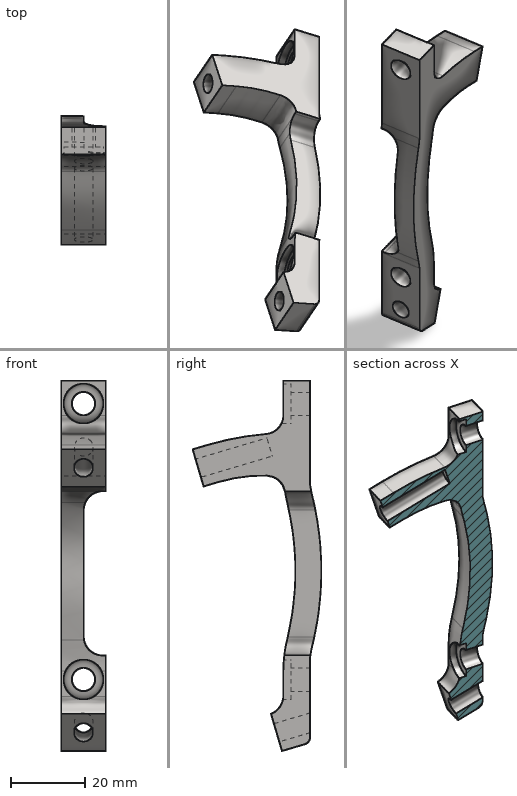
import cadquery as cq
import math


width = 12.0
bar_thickness = 7.25

bow_center_height = -51.2
bow_depth = 3.28
bow_thickness = 7.0
bow_radius = 77.0
bow_blend_radius = 35.0

pad_tilt = math.radians(16.5)
pad_length = 10.45
pad_spacing = 74.2
lower_pad_bottom = (7.6, -99.66)
inner_corner_radius = 5.0
foot_radius = 2.0

arm_straight = 4.2
arm_top_radius = 78.0
arm_underside_radius = 42.0
arm_root_reach = 3.0

relief_depth = 5.9
relief_corner_radius = 5.0
relief_top = -29.8
relief_bottom = -73.9

upper_mount_height = -6.2
mount_spacing = 74.2
mount_diameter = 6.2
counterbore_diameter = 10.7
counterbore_depth = 2.0
pad_hole_diameter = 5.1
upper_pad_hole_depth = 20.0

pad_up = (math.sin(pad_tilt), math.cos(pad_tilt))
pad_out = (math.cos(pad_tilt), -math.sin(pad_tilt))

profile_plane = cq.Plane(origin=(-width / 2, 0, 0), xDir=(0, -1, 0), normal=(-1, 0, 0))


def move(point, direction, distance):
    return (point[0] + direction[0] * distance, point[1] + direction[1] * distance)


def extrude_profile(sketch):
    """Extrude a closed reach-height outline over the full width."""
    return sketch.close().extrude(-width)


def polar(center, radius, angle):
    return move(center, (math.cos(angle), math.sin(angle)), radius)


def mirrored(point):
    """Reflect a point about the middle height of the bow."""
    return (point[0], 2 * bow_center_height - point[1])


def bow_points(rearward, wall_reach):
    """Upper half of one bow face, from its end on the wall down to the middle of the bow.

    Every face is an offset of the front one: a wide arc with a tangent blend at its end.
    """
    radius_sum = bow_radius + bow_blend_radius
    bow_angle = math.acos(1 - bow_depth / radius_sum)
    blend_center = (
        bar_thickness - bow_blend_radius,
        bow_center_height + radius_sum * math.sin(bow_angle),
    )
    blend_radius = bow_blend_radius - rearward
    wall_angle = -math.acos((wall_reach - blend_center[0]) / blend_radius)
    wall_end = polar(blend_center, blend_radius, wall_angle)
    blend_middle = polar(blend_center, blend_radius, (wall_angle - bow_angle) / 2)
    blend_end = polar(blend_center, blend_radius, -bow_angle)
    bow_middle = (bar_thickness - bow_depth - rearward, bow_center_height)
    return wall_end, blend_middle, blend_end, bow_middle


def make_bar():
    front_end, front_blend, front_join, front_middle = bow_points(0, bar_thickness)
    rear_end, rear_blend, rear_join, rear_middle = bow_points(bow_thickness, 0)

    lower_pad_top = move(lower_pad_bottom, pad_up, pad_length)
    corner_sweep = math.pi / 2 - pad_tilt
    corner_center = (
        bar_thickness + inner_corner_radius,
        lower_pad_top[1] + inner_corner_radius * math.sin(corner_sweep),
    )
    corner_start = polar(corner_center, inner_corner_radius, math.pi)
    corner_middle = polar(corner_center, inner_corner_radius, math.pi + corner_sweep / 2)

    foot = (0, lower_pad_bottom[1] + lower_pad_bottom[0] * math.tan(pad_tilt))
    bar = extrude_profile(
        cq.Workplane(profile_plane)
        .moveTo(0, 0)
        .lineTo(bar_thickness, 0)
        .lineTo(*front_end)
        .threePointArc(front_blend, front_join)
        .threePointArc(front_middle, mirrored(front_join))
        .threePointArc(mirrored(front_blend), mirrored(front_end))
        .lineTo(*corner_start)
        .threePointArc(corner_middle, lower_pad_top)
        .lineTo(*lower_pad_bottom)
        .lineTo(*foot)
        .lineTo(*mirrored(rear_end))
        .threePointArc(mirrored(rear_blend), mirrored(rear_join))
        .threePointArc(rear_middle, rear_join)
        .threePointArc(rear_blend, rear_end)
    )
    foot_edge = cq.selectors.NearestToPointSelector((0, -foot[0], foot[1]))
    return bar.edges(foot_edge).fillet(foot_radius)


def arm_arc(straight_end, radius):
    """Middle and root end of an arc that runs from the straight tip of the arm into the bar."""
    center = move(straight_end, pad_up, -radius)
    end_angle = math.pi / 2 - pad_tilt
    root_angle = math.acos((arm_root_reach - center[0]) / radius)
    middle = polar(center, radius, (end_angle + root_angle) / 2)
    return middle, polar(center, radius, root_angle)


def make_arm():
    pad_bottom = move(lower_pad_bottom, pad_up, pad_spacing)
    pad_top = move(pad_bottom, pad_up, pad_length)
    top_straight_end = move(pad_top, pad_out, -arm_straight)
    underside_straight_end = move(pad_bottom, pad_out, -arm_straight)
    top_middle, top_root = arm_arc(top_straight_end, arm_top_radius)
    underside_middle, underside_root = arm_arc(underside_straight_end, arm_underside_radius)
    return extrude_profile(
        cq.Workplane(profile_plane)
        .moveTo(*pad_bottom)
        .lineTo(*pad_top)
        .lineTo(*top_straight_end)
        .threePointArc(top_middle, top_root)
        .lineTo(*underside_root)
        .threePointArc(underside_middle, underside_straight_end)
    )


def join_arm(bar):
    """Add the arm and round the two corners where it leaves the bar front."""
    arm_tip_height = move(lower_pad_bottom, pad_up, pad_spacing)[1]
    margin = inner_corner_radius / 4
    corner_zone = cq.selectors.BoxSelector(
        (-width, -bar_thickness - margin, arm_tip_height),
        (width, -bar_thickness + margin, -inner_corner_radius),
    )
    return bar.union(make_arm()).edges("|X").edges(corner_zone).fillet(inner_corner_radius)


def make_relief():
    """Cutter that thins the middle of the bar from the +X side, with rounded ends."""
    height = relief_top - relief_bottom
    reach_span = 4 * bar_thickness
    block = cq.Workplane("XY").box(2 * relief_depth, reach_span, height)
    rounded = block.edges("|Y and <X").fillet(relief_corner_radius)
    return rounded.translate((width / 2, 0, (relief_top + relief_bottom) / 2))


def hole_cutter(point, direction, diameter, depth):
    """Cylinder that starts at a reach-height point and runs along a reach-height direction."""
    origin = cq.Vector(0, -point[0], point[1])
    axis = cq.Vector(0, -direction[0], direction[1])
    return cq.Workplane(cq.Solid.makeCylinder(diameter / 2, depth, origin, axis))


def cut_mount_holes(part):
    for height in (upper_mount_height, upper_mount_height - mount_spacing):
        seat = (bar_thickness - counterbore_depth, height)
        part = part.cut(hole_cutter((0, height), (1, 0), mount_diameter, bar_thickness))
        part = part.cut(hole_cutter(seat, (1, 0), counterbore_diameter, bar_thickness))
    return part


def cut_pad_holes(part):
    inward = (-pad_out[0], -pad_out[1])
    lower_center = move(lower_pad_bottom, pad_up, pad_length / 2)
    upper_center = move(lower_center, pad_up, pad_spacing)
    lower_depth = 2 * bar_thickness
    part = part.cut(hole_cutter(lower_center, inward, pad_hole_diameter, lower_depth))
    return part.cut(hole_cutter(upper_center, inward, pad_hole_diameter, upper_pad_hole_depth))


result = join_arm(make_bar()).cut(make_relief())
result = cut_pad_holes(cut_mount_holes(result))